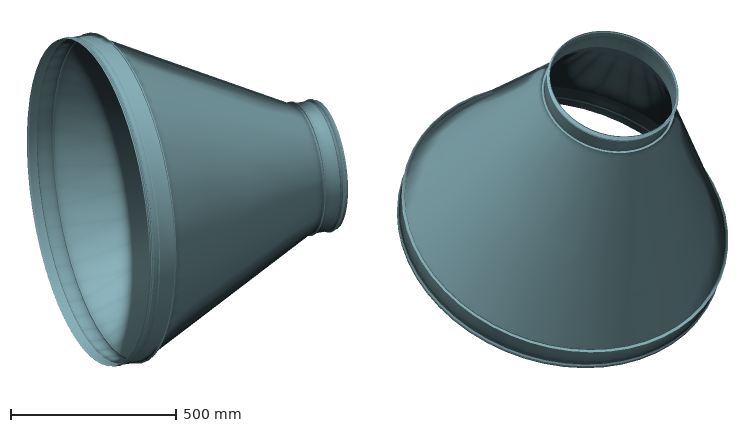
import cadquery as cq

LENGTH = 767.0
WALL = 0.5
GROOVE_DEPTH = 2.5
GROOVE_START = 3.0
GROOVE_SLOPE = 3.0

LARGE_DIAMETER = 1004.0
LARGE_SLEEVE_LENGTH = 86.0
LARGE_GROOVE_END = 34.0
LARGE_FLANGE_DIAMETER = 1013.0
LARGE_FLANGE_THICKNESS = 3.0

SMALL_DIAMETER = 399.0
SMALL_SLEEVE_LENGTH = 76.0
SMALL_GROOVE_END = 25.0
SMALL_FLANGE_DIAMETER = 412.0
SMALL_FLANGE_THICKNESS = 1.0

CONE_LARGE_DIAMETER = 995.0
CONE_LARGE_COLLAR = 3.0
CONE_SMALL_COLLAR = 6.0

SEAL_WIDTH = 9.0
SEAL_BASE = 1.5
LIP_WIDTH = 4.0
LARGE_LIP_DIAMETER = 1009.0
LARGE_MINOR_LIP_DIAMETER = 1005.0
SMALL_LIP_DIAMETER = 409.0
SMALL_MINOR_LIP_DIAMETER = 404.0


def revolve_profile(points):
    """Turn (radius, Y) points around the Y axis."""
    return cq.Workplane("XY").polyline(points).close().revolve(360, (0, 0, 0), (0, 1, 0))


def inside_of(outer_points):
    """Points one sheet thickness further in, in reverse order to close a profile."""
    return [(radius - WALL, y) for radius, y in reversed(outer_points)]


def make_sleeve(diameter, length, groove_end, flange_diameter, flange_thickness, opening_diameter):
    """Sheet sleeve with a seal groove near its mouth and a flange that meets the cone."""
    radius = diameter / 2
    floor_radius = radius - GROOVE_DEPTH
    flange_radius = flange_diameter / 2
    opening_radius = opening_diameter / 2
    flange_start = length - flange_thickness
    tube = [
        (radius, 0),
        (radius, GROOVE_START),
        (floor_radius, GROOVE_START + GROOVE_SLOPE),
        (floor_radius, groove_end - GROOVE_SLOPE),
        (radius, groove_end),
        (radius, flange_start),
    ]
    flange = [
        (flange_radius, flange_start),
        (flange_radius, length),
        (opening_radius, length),
    ]
    if opening_radius < radius - WALL:
        flange.append((opening_radius, flange_start))
    return revolve_profile(tube + flange + inside_of(tube))


def make_seal(groove_diameter, lip_diameter, minor_lip_diameter):
    """Ring on the groove floor with a low lip near the mouth and a high lip behind it."""
    floor_radius = groove_diameter / 2
    base_radius = floor_radius + SEAL_BASE
    start = GROOVE_START + GROOVE_SLOPE
    end = start + SEAL_WIDTH
    return revolve_profile([
        (floor_radius, start),
        (minor_lip_diameter / 2, start + LIP_WIDTH / 2),
        (base_radius, start + LIP_WIDTH),
        (base_radius, end - LIP_WIDTH),
        (lip_diameter / 2, end - LIP_WIDTH / 2),
        (floor_radius, end),
    ])


def at_small_mouth(body):
    """Turn a body built from Y = 0 end for end and move it to the small mouth."""
    return body.rotate((0, 0, 0), (1, 0, 0), 180).translate((0, LENGTH, 0))


cone_end = LENGTH - SMALL_SLEEVE_LENGTH
cone_outline = [
    (CONE_LARGE_DIAMETER / 2, LARGE_SLEEVE_LENGTH),
    (CONE_LARGE_DIAMETER / 2, LARGE_SLEEVE_LENGTH + CONE_LARGE_COLLAR),
    (SMALL_DIAMETER / 2, cone_end - CONE_SMALL_COLLAR),
    (SMALL_DIAMETER / 2, cone_end),
]
cone = revolve_profile(cone_outline + inside_of(cone_outline))

large_sleeve = make_sleeve(
    LARGE_DIAMETER, LARGE_SLEEVE_LENGTH, LARGE_GROOVE_END,
    LARGE_FLANGE_DIAMETER, LARGE_FLANGE_THICKNESS, CONE_LARGE_DIAMETER - 2 * WALL,
)
small_sleeve = at_small_mouth(make_sleeve(
    SMALL_DIAMETER, SMALL_SLEEVE_LENGTH, SMALL_GROOVE_END,
    SMALL_FLANGE_DIAMETER, SMALL_FLANGE_THICKNESS, SMALL_DIAMETER - 2 * WALL,
))

large_seal = make_seal(
    LARGE_DIAMETER - 2 * GROOVE_DEPTH, LARGE_LIP_DIAMETER, LARGE_MINOR_LIP_DIAMETER
)
small_seal = at_small_mouth(make_seal(
    SMALL_DIAMETER - 2 * GROOVE_DEPTH, SMALL_LIP_DIAMETER, SMALL_MINOR_LIP_DIAMETER
))

result = cq.Compound.makeCompound([
    cone.val(),
    large_sleeve.val(),
    small_sleeve.val(),
    large_seal.val(),
    small_seal.val(),
])